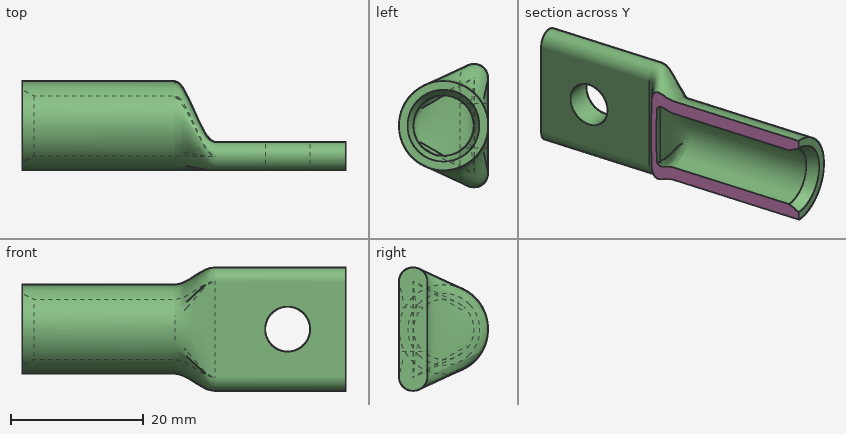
import cadquery as cq
import math

length = 48.8
barrel_diameter = 13.45
palm_width = 18.65

barrel_length = 23.0
barrel_radius = barrel_diameter / 2
bore_radius = 4.55
bore_mouth_radius = 5.4
countersink_depth = 1.75

palm_start = 29.05
palm_thickness = 4.3
palm_edge_radius = palm_thickness / 2
palm_center_y = -barrel_radius + palm_edge_radius
flat_half_width = palm_width / 2 - palm_edge_radius
palm_hole_diameter = 6.75
palm_hole_x = 40.05

slit_radius = 0.05

flat_edge_angle = math.radians(29)
transition_steps = 6


def section_plane(x):
    """Plane across the lug axis; local x is world Y, local y is world Z."""
    return cq.Plane(origin=(x, 0, 0), xDir=(0, 1, 0), normal=(1, 0, 0))


def transition_section(fraction, tube_radius, edge_radius):
    """Closed outline between a circle (fraction 0) and a flat slot (fraction 1)."""
    blend = fraction**2 * (3 - 2 * fraction)

    def blended(circle_point, slot_point):
        return tuple(c + blend * (s - c) for c, s in zip(circle_point, slot_point))

    def mirrored(point):
        return (point[0], -point[1])

    edge_y = tube_radius * math.cos(flat_edge_angle)
    edge_z = tube_radius * math.sin(flat_edge_angle)
    front = blended((-edge_y, edge_z), (palm_center_y - edge_radius, flat_half_width))
    back = blended((edge_y, edge_z), (palm_center_y + edge_radius, flat_half_width))
    tip = blended((0, tube_radius), (palm_center_y, flat_half_width + edge_radius))
    front_middle = blended((-tube_radius, 0), (palm_center_y - edge_radius, 0))
    back_middle = blended((tube_radius, 0), (palm_center_y + edge_radius, 0))

    x = barrel_length + fraction * (palm_start - barrel_length)
    outline = cq.Workplane(section_plane(x)).moveTo(*front).threePointArc(tip, back)
    if fraction < 1:
        outline = outline.threePointArc(back_middle, mirrored(back))
    else:
        outline = outline.lineTo(*mirrored(back))
    outline = outline.threePointArc(mirrored(tip), mirrored(front))
    if fraction < 1:
        outline = outline.threePointArc(front_middle, front).wire()
    else:
        outline = outline.close()
    return outline.val()


def transition(tube_radius, edge_radius):
    sections = [
        transition_section(step / transition_steps, tube_radius, edge_radius)
        for step in range(transition_steps + 1)
    ]
    return cq.Workplane(obj=cq.Solid.makeLoft(sections))


def palm():
    return (
        cq.Workplane(section_plane(palm_start))
        .center(palm_center_y, 0)
        .slot2D(palm_width, palm_thickness, 90)
        .extrude(length - palm_start)
    )


def bore():
    """Straight bore with a conical mouth, opening at X = 0."""
    return (
        cq.Workplane("XY")
        .polyline([
            (0, 0),
            (0, bore_mouth_radius),
            (countersink_depth, bore_radius),
            (barrel_length, bore_radius),
            (barrel_length, 0),
        ])
        .close()
        .revolve(360, (0, 0, 0), (1, 0, 0))
    )


def palm_hole():
    return (
        cq.Workplane("XZ")
        .center(palm_hole_x, 0)
        .circle(palm_hole_diameter / 2)
        .extrude(barrel_diameter, both=True)
    )


barrel = cq.Workplane("YZ").circle(barrel_radius).extrude(barrel_length)
body = barrel.union(transition(barrel_radius, palm_edge_radius)).union(palm())
crushed_bore = transition(bore_radius, slit_radius)
result = body.cut(bore()).cut(crushed_bore).cut(palm_hole())